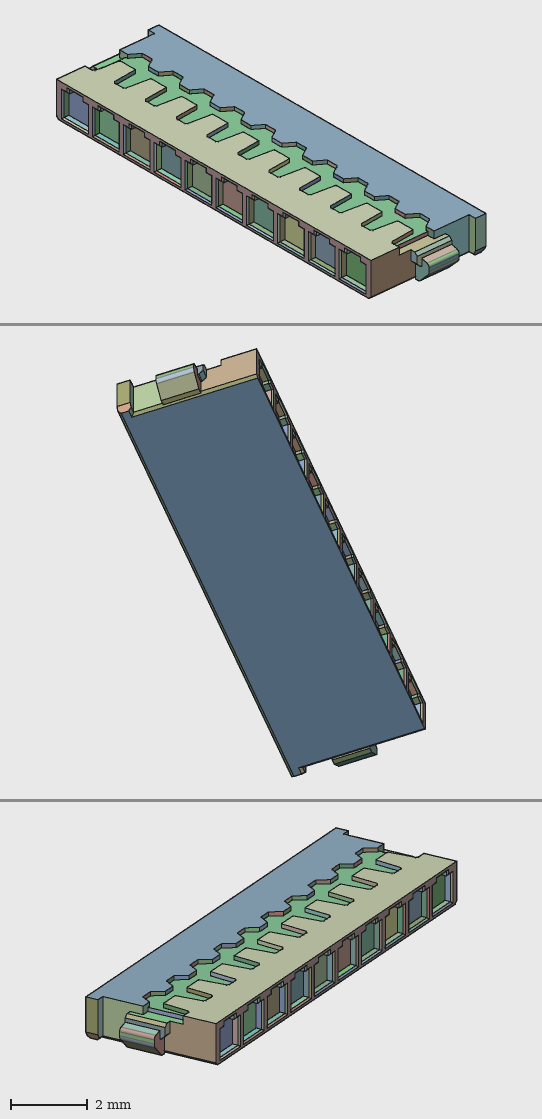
import cadquery as cq

total_length = 13.3
depth = 3.8
height = 1.2
body_length = 12.24
bottom_chamfer = 0.08

contact_count = 10
row_length = 10.8
pitch = row_length / (contact_count - 1)

flange_length = 12.73
flange_depth = 0.37
flange_slope_height = 0.2
flange_slope_run = 0.1
flange_bottom_chamfer = 0.08

latch_rear = 0.7
latch_front = -0.5
hook_front = -0.35
latch_top = 0.96
latch_chamfer = 0.09
ledge_height = 0.5
ledge_bevel = 0.12
hook_root_height = 0.75
hook_tip_height = 0.66
hook_slope = 0.39
hook_top_radius = 0.1
hook_bottom_radius = 0.2

recess_depth = 0.12
recess_length = 11.76
recess_rear = 0.3
recess_front = -0.9
scallop_depth = 0.32
scallop_top_width = 0.39
scallop_base_width = 0.81
tooth_rear = -0.05
tooth_tip_width = 0.6
tooth_base_width = 0.76
tooth_root_chamfer = 0.05

pocket_width = 1.04
pocket_bottom = 0.08
pocket_top = 0.98
key_width = 0.61
key_top = 1.12
pocket_depth = 0.21
mouth_chamfer = 0.047

front = -depth / 2
rear = depth / 2
half_body = body_length / 2
half_flange = flange_length / 2
half_total = total_length / 2
contact_centres = [pitch * i - row_length / 2 for i in range(contact_count)]


def block(x_range, y_range, z_range):
    """Axis-aligned box between pairs of limits."""
    (x0, x1), (y0, y1), (z0, z1) = x_range, y_range, z_range
    return cq.Workplane("XY").box(x1 - x0, y1 - y0, z1 - z0, centered=False).translate((x0, y0, z0))


def profile_along_y(points, y0, y1):
    """Prism with an XZ outline, from y0 to y1."""
    return cq.Workplane("XZ", origin=(0, y1, 0)).polyline(points).close().extrude(y1 - y0)


def make_body():
    bar = block((-half_body, half_body), (front, rear), (0, height))
    bar = bar.edges("|Y and <Z").chamfer(bottom_chamfer)
    bar = bar.edges(">Y and <Z").chamfer(flange_bottom_chamfer)
    half_flange_bottom = half_flange - flange_slope_run
    flange = profile_along_y(
        [
            (-half_flange_bottom, 0),
            (half_flange_bottom, 0),
            (half_flange, flange_slope_height),
            (half_flange, height),
            (-half_flange, height),
            (-half_flange, flange_slope_height),
        ],
        rear - flange_depth,
        rear,
    )
    flange = flange.edges("|X and <Z").chamfer(flange_bottom_chamfer)
    return bar.union(flange)


def make_left_latch():
    upper = block((-half_flange, -half_body), (latch_front, latch_rear), (ledge_height, latch_top))
    upper = upper.edges("|Y and <X and >Z").chamfer(latch_chamfer)
    upper = upper.edges("|X and <Y and <Z").chamfer(ledge_bevel)
    hook = profile_along_y(
        [
            (-half_body, 0),
            (-half_body, hook_root_height),
            (-half_flange, hook_root_height),
            (-half_total, hook_tip_height),
            (-half_total, hook_slope),
            (hook_slope - half_total, 0),
        ],
        hook_front,
        latch_rear,
    )
    hook_middle = (hook_front + latch_rear) / 2
    for corner_height, radius in ((hook_tip_height, hook_top_radius), (hook_slope, hook_bottom_radius)):
        corner = cq.NearestToPointSelector((-half_total, hook_middle, corner_height))
        hook = hook.edges(corner).fillet(radius)
    return upper.union(hook)


def make_recess():
    """Shallow band with a scalloped rear edge and teeth left standing on its front side."""
    half_recess = recess_length / 2
    outline = [(-half_recess, recess_front), (-half_recess, recess_rear)]
    for x in contact_centres:
        outline += [
            (x - scallop_base_width / 2, recess_rear),
            (x - scallop_top_width / 2, recess_rear + scallop_depth),
            (x + scallop_top_width / 2, recess_rear + scallop_depth),
            (x + scallop_base_width / 2, recess_rear),
        ]
    outline += [(half_recess, recess_rear), (half_recess, recess_front)]
    root = tooth_base_width / 2
    for x in reversed(contact_centres):
        outline += [
            (x + root + tooth_root_chamfer, recess_front),
            (x + root, recess_front + tooth_root_chamfer),
            (x + tooth_tip_width / 2, tooth_rear),
            (x - tooth_tip_width / 2, tooth_rear),
            (x - root, recess_front + tooth_root_chamfer),
            (x - root - tooth_root_chamfer, recess_front),
        ]
    floor = height - recess_depth
    recess = cq.Workplane("XY", origin=(0, 0, floor)).polyline(outline).close().extrude(recess_depth)
    for x_range in ((-half_body, -half_recess), (half_recess, half_body)):
        recess = recess.union(block(x_range, (recess_front, recess_rear), (latch_top, height)))
    return recess


def make_opening(width, bottom, top):
    """Rectangular opening in the front face with a 45 degree lead-in."""
    middle = cq.Workplane("XZ", origin=(0, front, (bottom + top) / 2))
    mouth = middle.rect(width, top - bottom).extrude(-mouth_chamfer, taper=45)
    bore = middle.rect(width - 2 * mouth_chamfer, top - bottom - 2 * mouth_chamfer).extrude(-pocket_depth)
    return mouth.union(bore)


def make_pocket():
    main = make_opening(pocket_width, pocket_bottom, pocket_top)
    key = make_opening(key_width, pocket_bottom, key_top)
    return main.union(key)


left_latch = make_left_latch()
result = make_body().union(left_latch).union(left_latch.mirror("YZ")).cut(make_recess())
pocket = make_pocket()
for x in contact_centres:
    result = result.cut(pocket.translate((x, 0, 0)))